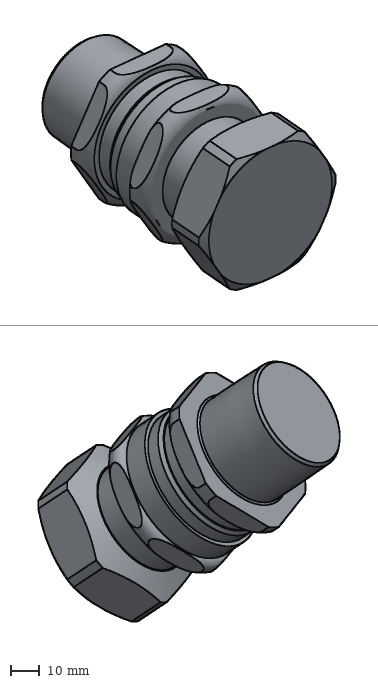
import cadquery as cq
import math


across_flats = 55.0
small_hex_corner_r = 30.2
back_hex_corner_r = 30.81
crown_radius = 5.4

tip_r = 39.5 / 2
taper_start_r = 20.6
thread_r = 20.8
stop_r = 21.7
neck_r = 47.9 / 2
shoulder_r = 24.2
tip_chamfer_end = 1.2
taper_end = 13.7
thread_end = 28.0
entry_hex_start = 28.5
entry_crest = 31.5
entry_hex_end = 36.6
shoulder_end = 37.5
neck_end = 42.8

ring_r = 50.8 / 2
ring_chamfer = 1.6
ring_chamfer_rise = 1.0
ring_end = 49.5

collar_r = 53.9 / 2
middle_hex_start = 58.7
middle_crest = 62.0
middle_hex_end = 67.3

sleeve_r = 41.5 / 2
sleeve_end = 79.8
back_cone_start_r = 42.3 / 2
back_cone_end = 84.7
back_chamfer_start = 99.5
back_end = 101.2
back_face_r = 27.7


def revolve_x(profile):
    """Turn a closed (x, radius) profile about the X axis."""
    return profile.revolve(360, (0, 0, 0), (1, 0, 0))


def turned(points):
    """Turn straight steps, closing the profile along the axis."""
    start = (points[0][0], 0)
    end = (points[-1][0], 0)
    return revolve_x(cq.Workplane("XY").polyline([start, *points, end]).close())


def hex_prism(start, end):
    """Hexagonal bar along X with flats facing +Z and -Z."""
    across_corners = across_flats / math.cos(math.pi / 6)
    return cq.Workplane("YZ", origin=(start, 0, 0)).polygon(6, across_corners).extrude(end - start)


def crown_drop(run):
    """Fall in radius of the crown arc at a distance run from its crest."""
    return crown_radius - math.sqrt(crown_radius**2 - run**2)


def add_crown(profile, crest, end):
    """Append the rounded shoulder from the crest to the end of a hexagon, then close."""
    half_run = (end - crest) / 2
    middle = (crest + half_run, small_hex_corner_r - crown_drop(half_run))
    tail = (end, small_hex_corner_r - crown_drop(end - crest))
    return profile.threePointArc(middle, tail).lineTo(end, 0).close()


def make_entry_body():
    thread = turned([
        (0, tip_r),
        (tip_chamfer_end, taper_start_r),
        (taper_end, thread_r),
        (thread_end, thread_r),
        (entry_hex_start, stop_r),
    ])
    envelope = cq.Workplane("XY").moveTo(entry_hex_start, 0).lineTo(entry_hex_start, small_hex_corner_r)
    envelope = envelope.lineTo(entry_crest, small_hex_corner_r)
    envelope = revolve_x(add_crown(envelope, entry_crest, entry_hex_end))
    hexagon = hex_prism(entry_hex_start, entry_hex_end).intersect(envelope)
    neck = turned([
        (entry_hex_end, shoulder_r),
        (shoulder_end, neck_r),
        (neck_end, neck_r),
    ])
    return thread.union(hexagon).union(neck)


def make_ring():
    return turned([
        (neck_end, ring_r - ring_chamfer_rise),
        (neck_end + ring_chamfer, ring_r),
        (ring_end, ring_r),
    ])


def make_middle_nut():
    collar = turned([(ring_end, collar_r), (middle_hex_start, collar_r)])
    front_radius = small_hex_corner_r - collar_r
    arc_x = middle_crest - (middle_crest - middle_hex_start) * math.cos(math.pi / 4)
    arc_r = collar_r + front_radius * math.sin(math.pi / 4)
    envelope = cq.Workplane("XY").moveTo(middle_hex_start, 0).lineTo(middle_hex_start, collar_r)
    envelope = envelope.threePointArc((arc_x, arc_r), (middle_crest, small_hex_corner_r))
    envelope = revolve_x(add_crown(envelope, middle_crest, middle_hex_end))
    hexagon = hex_prism(middle_hex_start, middle_hex_end).intersect(envelope)
    return collar.union(hexagon)


def make_rear_sleeve():
    return turned([(middle_hex_end, sleeve_r), (sleeve_end, sleeve_r)])


def make_back_nut():
    envelope = turned([
        (sleeve_end, back_cone_start_r),
        (back_cone_end, back_hex_corner_r),
        (back_chamfer_start, back_hex_corner_r),
        (back_end, back_face_r),
    ])
    return hex_prism(sleeve_end, back_end).intersect(envelope)


entry_body = make_entry_body()
ring = make_ring()
middle_nut = make_middle_nut()
rear_sleeve = make_rear_sleeve()
back_nut = make_back_nut()

result = cq.Compound.makeCompound([
    entry_body.val(),
    ring.val(),
    middle_nut.val(),
    rear_sleeve.val(),
    back_nut.val(),
])